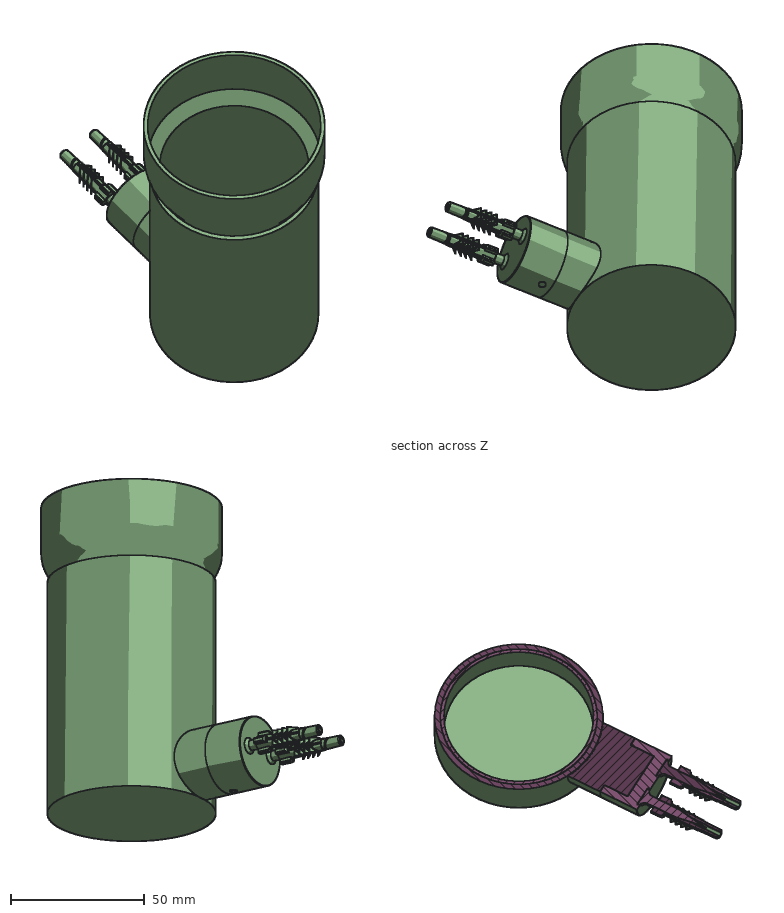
import cadquery as cq
import math

OVERALL_LENGTH = 124.7

TUBE_DIAMETER = 63.2
TUBE_HEIGHT = 91.5
TUBE_FLOOR = 2.1

CUP_DIAMETER = 68.0
CUP_NECK_DIAMETER = 59.0
CUP_TOP = 121.1
CUP_MOUTH_DIAMETER = 64.8
CUP_SHOULDER_TOP = 103.5
CUP_SHOULDER_BOTTOM = 95.4
CUP_SHOULDER_RADIUS = 31.5
CUP_FUNNEL_TOP = 99.3

ARM_DIAMETER = 26.8
ARM_AXIS_Z = 13.2
SPIGOT_DIAMETER = 20.3
SPIGOT_LENGTH = 10.0
WALL_FACE = -58.5
JOINT = -42.6
EDGE_CHAMFER = 0.2

SET_SCREW_DIAMETER = 2.7
SET_SCREW_X = -46.4
SET_SCREW_PROTRUSION = 0.4

SCREW_SPACING = 14.5
SCREW_DIAMETER = 4.0
SCREW_HEAD_DIAMETER = 8.2
SCREW_HEAD_START = -59.6
SCREW_POINT_START = -72.3
SCREW_POINT_LENGTH = 12.5

DOWEL_LENGTH = 27.4
DOWEL_TIP_DIAMETER = 3.9
DOWEL_END_DIAMETER = 5.5
DOWEL_TIP_CHAMFER = 0.5
DOWEL_HOLE_DIAMETER = 1.7
SLIT_WIDTH = 0.6
SLIT_START = 8.2
SLIT_LENGTH = 14.3
SLEEVE_START_DIAMETER = 4.5
NOSE_END_DIAMETER = 4.2
NOSE_GROOVE_X = 6.7
NOSE_GROOVE_WIDTH = 0.5
NOSE_GROOVE_DIAMETER = 3.9
NOSE_GROOVE_TILT = 20
RIB_LENGTH = 5.0
RIB_WIDTH = 2.2
RIB_SPAN = 8.2
RIB_CHAMFER = 0.9
RIB_EDGE_CHAMFER = 0.5
BARB_COUNT = 4
BARB_PITCH = 2.2
BARB_SPAN = 5.7
BARB_THICKNESS = 0.4
FIRST_BARB = 13.1

CUP_WALL = (CUP_DIAMETER - CUP_MOUTH_DIAMETER) / 2
DOWEL_TIP = CUP_DIAMETER / 2 - OVERALL_LENGTH
DOWEL_END = DOWEL_TIP + DOWEL_LENGTH
SCREW_HEAD_LENGTH = (SCREW_HEAD_DIAMETER - SCREW_DIAMETER) / 2
SCREW_HEAD_END = SCREW_HEAD_START + SCREW_HEAD_LENGTH
SCREW_TIP = SCREW_POINT_START - SCREW_POINT_LENGTH


def rod(diameter, start, length, y=0):
    """Cylinder along +X at the height of the arm."""
    plane = cq.Plane(origin=(start, y, ARM_AXIS_Z), xDir=(0, 1, 0), normal=(1, 0, 0))
    return cq.Workplane(plane).circle(diameter / 2).extrude(length)


def turned(points, y):
    """Solid turned around the arm-height X axis at the given Y, from (x, radius) points."""
    profile = cq.Workplane("XY", origin=(0, y, ARM_AXIS_Z)).polyline(points).close()
    return profile.revolve(360, (0, 0, 0), (1, 0, 0))


def make_cup():
    """Flared cup whose straight neck fills the bore of the tube."""
    rim = CUP_DIAMETER / 2
    neck = CUP_NECK_DIAMETER / 2
    inset = rim - CUP_SHOULDER_RADIUS
    slope = 2 * math.atan2(inset, CUP_SHOULDER_TOP - CUP_SHOULDER_BOTTOM)
    outer_arc = (CUP_SHOULDER_TOP - CUP_SHOULDER_BOTTOM) / math.sin(slope)
    neck_arc = (CUP_SHOULDER_RADIUS - neck) / (1 - math.cos(slope))
    neck_top = CUP_SHOULDER_BOTTOM - neck_arc * math.sin(slope)
    outer_mid = (
        rim - outer_arc * (1 - math.cos(slope / 2)),
        CUP_SHOULDER_TOP - outer_arc * math.sin(slope / 2),
    )
    neck_mid = (
        neck + neck_arc * (1 - math.cos(slope / 2)),
        neck_top + neck_arc * math.sin(slope / 2),
    )
    funnel_depth = (CUP_DIAMETER - CUP_NECK_DIAMETER) / 2
    profile = (
        cq.Workplane("XZ")
        .moveTo(0, TUBE_FLOOR)
        .lineTo(neck, TUBE_FLOOR)
        .lineTo(neck, neck_top)
        .threePointArc(neck_mid, (CUP_SHOULDER_RADIUS, CUP_SHOULDER_BOTTOM))
        .threePointArc(outer_mid, (rim, CUP_SHOULDER_TOP))
        .lineTo(rim, CUP_TOP)
        .lineTo(rim - CUP_WALL, CUP_TOP)
        .lineTo(rim - CUP_WALL, CUP_FUNNEL_TOP)
        .lineTo(neck - CUP_WALL, CUP_FUNNEL_TOP - funnel_depth)
        .lineTo(neck - CUP_WALL, TUBE_FLOOR + CUP_WALL)
        .lineTo(0, TUBE_FLOOR + CUP_WALL)
        .close()
    )
    return profile.revolve(360, (0, 0, 0), (0, 1, 0))


def make_tube_blank():
    """Solid cylinder that fills the outside of the tube."""
    return cq.Workplane("XY").circle(TUBE_DIAMETER / 2).extrude(TUBE_HEIGHT)


def make_tube(cup):
    """Round tube with a floor, bored for the neck of the cup and flared to seat its shoulder."""
    bore = (
        cq.Workplane("XY", origin=(0, 0, TUBE_FLOOR))
        .circle(CUP_NECK_DIAMETER / 2)
        .extrude(TUBE_HEIGHT - TUBE_FLOOR)
    )
    return make_tube_blank().cut(bore).cut(cup)


def make_arm():
    """Arm with a saddle end that sits on the -X side of the tube and a spigot for the wall mount."""
    saddle = make_tube_blank().translate((0, 0, -ARM_DIAMETER))
    return rod(ARM_DIAMETER, JOINT, -JOINT).cut(make_tube_blank()).cut(saddle).union(make_spigot())


def make_spigot():
    """Round end of the arm, which fills the bore of the wall mount."""
    return rod(SPIGOT_DIAMETER, JOINT - SPIGOT_LENGTH, SPIGOT_LENGTH)


def make_set_screw():
    """Headless screw that rises from below the wall mount to the spigot."""
    bottom = -SET_SCREW_PROTRUSION
    length = ARM_AXIS_Z - bottom
    blank = (
        cq.Workplane("XY", origin=(SET_SCREW_X, 0, bottom))
        .circle(SET_SCREW_DIAMETER / 2)
        .extrude(length)
    )
    return blank.cut(make_spigot())


def make_screw(y):
    """Pointed countersunk wall screw."""
    shank = SCREW_DIAMETER / 2
    points = [
        (SCREW_TIP, 0),
        (SCREW_POINT_START, shank),
        (SCREW_HEAD_START, shank),
        (SCREW_HEAD_END, SCREW_HEAD_DIAMETER / 2),
        (SCREW_HEAD_END, 0),
    ]
    return turned(points, y)


def make_barb(index, side, y):
    """Square barb plate leaning 45 degrees back from the tip, on one side of the dowel."""
    reach = BARB_SPAN / 2
    tip_x = DOWEL_TIP + FIRST_BARB + index * BARB_PITCH
    outline = [
        (tip_x, side * reach),
        (tip_x - BARB_THICKNESS, side * reach),
        (tip_x - BARB_THICKNESS - reach, 0),
        (tip_x - reach, 0),
    ]
    return (
        cq.Workplane("XY", origin=(0, y, ARM_AXIS_Z))
        .polyline(outline)
        .close()
        .extrude(reach, both=True)
    )


def make_rib(y, angle):
    """Pair of opposite anti-rotation ribs with sloping front ends."""
    reach = RIB_SPAN / 2
    start = DOWEL_END - RIB_LENGTH
    outline = [
        (start, reach - RIB_CHAMFER),
        (start + RIB_CHAMFER, reach),
        (DOWEL_END, reach),
        (DOWEL_END, -reach),
        (start + RIB_CHAMFER, -reach),
        (start, RIB_CHAMFER - reach),
    ]
    rib = cq.Workplane("XY").polyline(outline).close().extrude(RIB_WIDTH / 2, both=True)
    rib = rib.edges("|X").chamfer(RIB_EDGE_CHAMFER)
    return rib.rotate((0, 0, 0), (1, 0, 0), angle).translate((0, y, ARM_AXIS_Z))


def make_nose_groove(y):
    """Ring that cuts a shallow slanted groove round the nose of the dowel."""
    ring = (
        cq.Workplane("YZ")
        .circle(DOWEL_END_DIAMETER / 2)
        .circle(NOSE_GROOVE_DIAMETER / 2)
        .extrude(NOSE_GROOVE_WIDTH / 2, both=True)
    )
    slanted = ring.rotate((0, 0, 0), (0, -1, 1), NOSE_GROOVE_TILT)
    return slanted.translate((DOWEL_TIP + NOSE_GROOVE_X, y, ARM_AXIS_Z))


def make_dowel(y, screw):
    """Tapered dowel with a grooved nose, barbs, end ribs and crossed slits, bored for its screw."""
    tip = DOWEL_TIP_DIAMETER / 2
    points = [
        (DOWEL_TIP, 0),
        (DOWEL_TIP, tip - DOWEL_TIP_CHAMFER),
        (DOWEL_TIP + DOWEL_TIP_CHAMFER, tip),
        (DOWEL_TIP + SLIT_START, NOSE_END_DIAMETER / 2),
        (DOWEL_TIP + SLIT_START, SLEEVE_START_DIAMETER / 2),
        (DOWEL_END, DOWEL_END_DIAMETER / 2),
        (DOWEL_END, 0),
    ]
    dowel = turned(points, y).cut(make_nose_groove(y))
    for index in range(BARB_COUNT):
        for side in (-1, 1):
            dowel = dowel.union(make_barb(index, side, y))
    for angle in (0, 90):
        dowel = dowel.union(make_rib(y, angle))
    slit_x = DOWEL_TIP + SLIT_START + SLIT_LENGTH / 2
    for size_y, size_z in ((SLIT_WIDTH, RIB_SPAN), (RIB_SPAN, SLIT_WIDTH)):
        slit = cq.Workplane("XY").box(SLIT_LENGTH, size_y, size_z)
        dowel = dowel.cut(slit.translate((slit_x, y, ARM_AXIS_Z)))
    tip_hole = rod(DOWEL_HOLE_DIAMETER, DOWEL_TIP, SCREW_POINT_START - DOWEL_TIP, y)
    return dowel.cut(tip_hole).cut(screw)


def make_wall_mount(set_screw, screws):
    """Round wall mount, bored for the spigot, the set screw and the countersunk screws."""
    mount = rod(ARM_DIAMETER, WALL_FACE, JOINT - WALL_FACE).faces("<X").chamfer(EDGE_CHAMFER)
    mount = mount.cut(make_spigot()).cut(set_screw)
    for screw in screws:
        mount = mount.cut(screw)
    return mount


screw_places = [-SCREW_SPACING / 2, SCREW_SPACING / 2]

cup = make_cup()
tube = make_tube(cup)
arm = make_arm()
set_screw = make_set_screw()
screws = [make_screw(y) for y in screw_places]
dowels = [make_dowel(y, screw) for y, screw in zip(screw_places, screws)]
wall_mount = make_wall_mount(set_screw, screws)

bodies = [cup, tube, arm, wall_mount, set_screw, *screws, *dowels]
result = cq.Compound.makeCompound([body.val() for body in bodies])